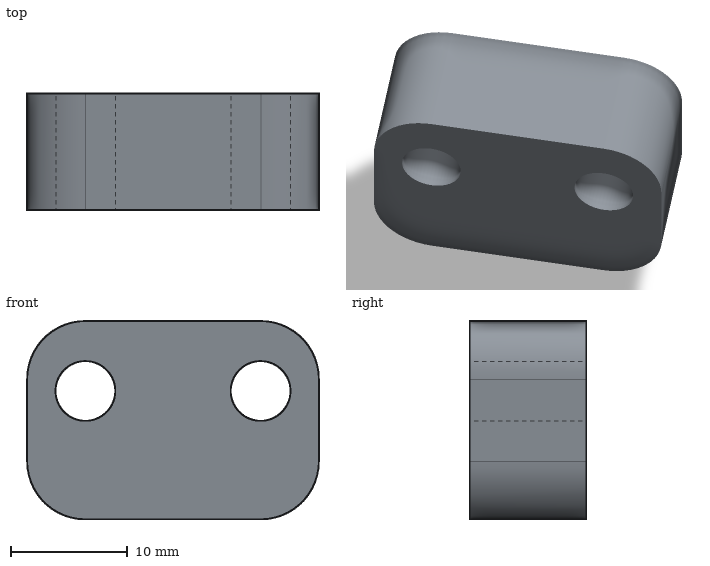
import cadquery as cq

width = 25.0
depth = 10.0
height = 17.0
corner_radius = 5.0

hole_diameter = 5.1
hole_spacing = 15.0
hole_drop = 6.0


def rounded_block():
    """Block centred on the origin, with its four Y-direction edges rounded."""
    return cq.Workplane("XY").box(width, depth, height).edges("|Y").fillet(corner_radius)


def drill_holes(block):
    """Drill the pair of holes right through from front to back."""
    hole_z = height / 2 - hole_drop
    hole_centers = [(side * hole_spacing / 2, hole_z) for side in (-1, 1)]
    drills = (
        cq.Workplane("XZ")
        .pushPoints(hole_centers)
        .circle(hole_diameter / 2)
        .extrude(depth / 2, both=True)
    )
    return block.cut(drills)


result = drill_holes(rounded_block())